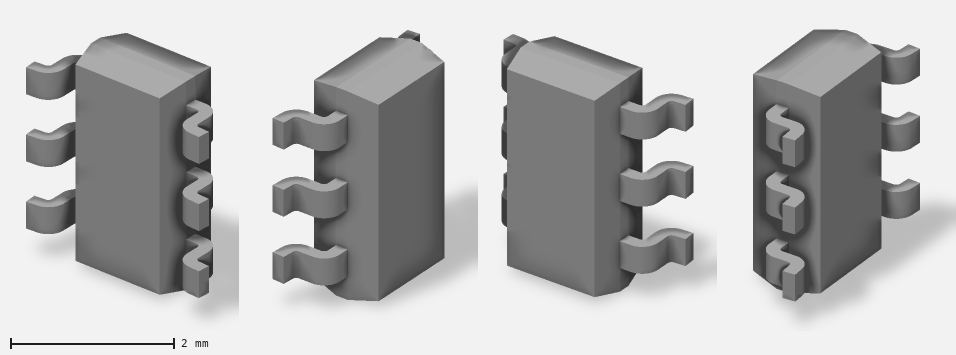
import cadquery as cq
import math


housing_width = 1.5
housing_length = 2.95
housing_depth = 1.0
belt_depth = 0.18
draft_inset = 0.085
drafted_depth = (housing_depth - belt_depth) / 2

lead_thickness = belt_depth
lead_width = 0.38
lead_pitch = 0.95
leads_per_side = 3
lead_span = 2.75
shank_outer_x = 1.153
inner_bend_radius = 0.06
outer_bend_radius = inner_bend_radius + lead_thickness
foot_tilt = math.radians(4)
foot_standoff = 0.1


def make_housing():
    """Belt block with a tapered frustum on its front and back faces."""
    draft_angle = math.degrees(math.atan(draft_inset / drafted_depth))
    belt = cq.Workplane("XY").box(housing_width, belt_depth, housing_length)
    front_half = belt.faces("<Y").workplane().rect(housing_width, housing_length)
    front_half = front_half.extrude(drafted_depth, taper=draft_angle, combine=False)
    back_half = belt.faces(">Y").workplane().rect(housing_width, housing_length)
    back_half = back_half.extrude(drafted_depth, taper=draft_angle, combine=False)
    return belt.union(front_half).union(back_half)


def bend_point(center, radius, angle):
    """Point on a bend, with the angle measured from +X toward +Y."""
    return (center[0] + radius * math.cos(angle), center[1] + radius * math.sin(angle))


def make_lead():
    """Gull-wing lead on the +X side, centred on Z = 0 and starting at the housing wall."""
    wall_x = housing_width / 2
    top_y = belt_depth / 2
    shank_inner_x = shank_outer_x - lead_thickness
    shoulder_center = (shank_outer_x - outer_bend_radius, top_y - outer_bend_radius)

    tip_x = lead_span / 2
    lowest_y = -housing_depth / 2 - foot_standoff
    heel_x = shank_outer_x + inner_bend_radius
    foot_length = (tip_x - heel_x + inner_bend_radius * math.sin(foot_tilt)) / math.cos(foot_tilt)
    heel_y = lowest_y + outer_bend_radius * math.cos(foot_tilt) + foot_length * math.sin(foot_tilt)
    heel_center = (heel_x, heel_y)

    shoulder_middle = math.pi / 4
    heel_end = 1.5 * math.pi - foot_tilt
    heel_middle = (math.pi + heel_end) / 2

    tip_top = (tip_x, lowest_y + lead_thickness * math.cos(foot_tilt))
    tip_bottom = (tip_x - lead_thickness * math.sin(foot_tilt), lowest_y)

    profile = (
        cq.Workplane("XY")
        .workplane(offset=-lead_width / 2)
        .moveTo(wall_x, top_y)
        .lineTo(shoulder_center[0], top_y)
        .threePointArc(
            bend_point(shoulder_center, outer_bend_radius, shoulder_middle),
            (shank_outer_x, shoulder_center[1]),
        )
        .lineTo(shank_outer_x, heel_y)
        .threePointArc(
            bend_point(heel_center, inner_bend_radius, heel_middle),
            bend_point(heel_center, inner_bend_radius, heel_end),
        )
        .lineTo(*tip_top)
        .lineTo(*tip_bottom)
        .lineTo(*bend_point(heel_center, outer_bend_radius, heel_end))
        .threePointArc(
            bend_point(heel_center, outer_bend_radius, heel_middle),
            (shank_inner_x, heel_y),
        )
        .lineTo(shank_inner_x, shoulder_center[1])
        .threePointArc(
            bend_point(shoulder_center, inner_bend_radius, shoulder_middle),
            (shoulder_center[0], top_y - lead_thickness),
        )
        .lineTo(wall_x, top_y - lead_thickness)
        .close()
    )
    return profile.extrude(lead_width)


housing = make_housing()

right_lead = make_lead()
left_lead = right_lead.mirror("YZ")
leads = []
for row in range(leads_per_side):
    row_z = (row - (leads_per_side - 1) / 2) * lead_pitch
    for lead in (left_lead, right_lead):
        leads.append(lead.translate((0, 0, row_z)).val())

result = cq.Compound.makeCompound([housing.val(), *leads])